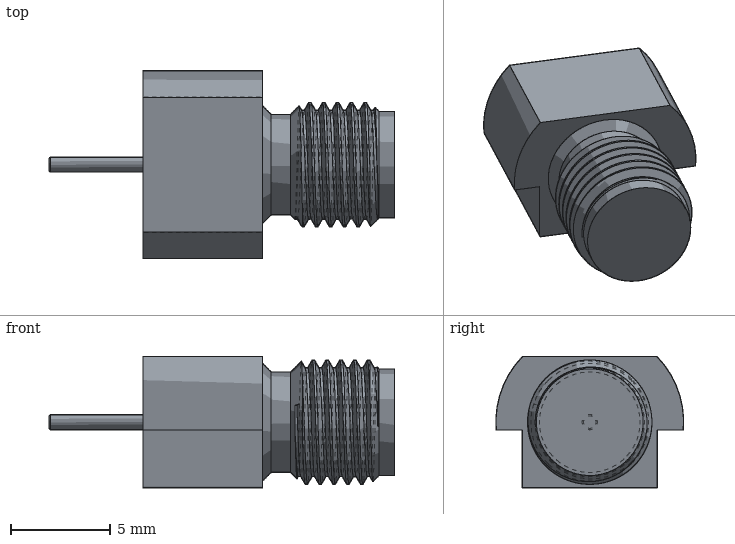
import cadquery as cq
import math


block_start = 4.75
block_end = 10.78
collar_end = 11.22
neck_end = 12.2
thread_end = 16.66
total_length = 17.45

pin_diameter = 0.77
pin_tip_chamfer = 0.07

block_width = 9.5
block_height = 6.65
base_width = 6.84
shoulder_z = -0.4
base_edge_radius = 0.07

neck_diameter = 5.08
nose_diameter = 5.4
overlap = 0.17

thread_diameter = 6.28
thread_root_diameter = 5.51
thread_pitch = 0.7
root_flat = 0.14
flank_half_angle = math.radians(30)
groove_at_top = 13.7
turns_before = 1.8
segment_turns = 1.5
segment_count = 5
cutter_clearance = 0.05


def make_block():
    """Block with rounded sides concentric with the axis and a narrower base."""
    side_radius = block_width / 2
    top_z = block_height / 2
    top_half_width = math.sqrt(side_radius**2 - top_z**2)
    shoulder_half_width = math.sqrt(side_radius**2 - shoulder_z**2)
    base_half_width = base_width / 2
    return (
        cq.Workplane("YZ", origin=(block_start, 0, 0))
        .moveTo(-base_half_width, -top_z)
        .lineTo(base_half_width, -top_z)
        .lineTo(base_half_width, shoulder_z)
        .lineTo(shoulder_half_width, shoulder_z)
        .threePointArc((side_radius, 0), (top_half_width, top_z))
        .lineTo(-top_half_width, top_z)
        .threePointArc((-side_radius, 0), (-shoulder_half_width, shoulder_z))
        .lineTo(-base_half_width, shoulder_z)
        .close()
        .extrude(block_end - block_start)
        .faces("<Z")
        .edges("|X")
        .fillet(base_edge_radius)
    )


def make_pin():
    """Round contact pin with a chamfered tip."""
    return (
        cq.Workplane("YZ")
        .circle(pin_diameter / 2)
        .extrude(block_start + overlap)
        .faces("<X")
        .chamfer(pin_tip_chamfer)
    )


def make_barrel():
    """Unthreaded barrel; all of its cones slope at 45 degrees."""
    neck_radius = neck_diameter / 2
    crest_radius = thread_diameter / 2
    nose_radius = nose_diameter / 2
    collar_radius = neck_radius + collar_end - block_end
    crest_start = neck_end + crest_radius - neck_radius
    crest_end = thread_end - (crest_radius - nose_radius)
    return (
        cq.Workplane("XY")
        .moveTo(block_end - overlap, 0)
        .lineTo(block_end - overlap, collar_radius)
        .lineTo(block_end, collar_radius)
        .lineTo(collar_end, neck_radius)
        .lineTo(neck_end, neck_radius)
        .lineTo(crest_start, crest_radius)
        .lineTo(crest_end, crest_radius)
        .lineTo(thread_end, nose_radius)
        .lineTo(total_length, nose_radius)
        .lineTo(total_length, 0)
        .close()
        .revolve(360, (0, 0, 0), (1, 0, 0))
    )


def make_groove_segment(index):
    """One length of the helical groove cutter; successive segments join end to end."""
    turns_from_top = index * segment_turns - turns_before
    start_x = groove_at_top + turns_from_top * thread_pitch
    root_radius = thread_root_diameter / 2
    outer_radius = thread_diameter / 2 + cutter_clearance
    root_half_width = root_flat / 2
    outer_half_width = root_half_width + (outer_radius - root_radius) * math.tan(flank_half_angle)
    helix = cq.Wire.makeHelix(thread_pitch, segment_turns * thread_pitch, root_radius)
    groove = (
        cq.Workplane("XZ")
        .moveTo(root_radius, -root_half_width)
        .lineTo(outer_radius, -outer_half_width)
        .lineTo(outer_radius, outer_half_width)
        .lineTo(root_radius, root_half_width)
        .close()
        .sweep(cq.Workplane(obj=helix), isFrenet=True)
    )
    barrel_plane = cq.Plane(origin=(start_x, 0, 0), xDir=(0, 0, 1), normal=(1, 0, 0))
    on_axis = groove.val().moved(cq.Location(barrel_plane))
    return on_axis.rotate((0, 0, 0), (1, 0, 0), 360 * turns_from_top)


barrel = make_barrel()
for segment_index in range(segment_count):
    barrel = barrel.cut(cq.Workplane(obj=make_groove_segment(segment_index)))

result = make_block().union(make_pin()).union(barrel)